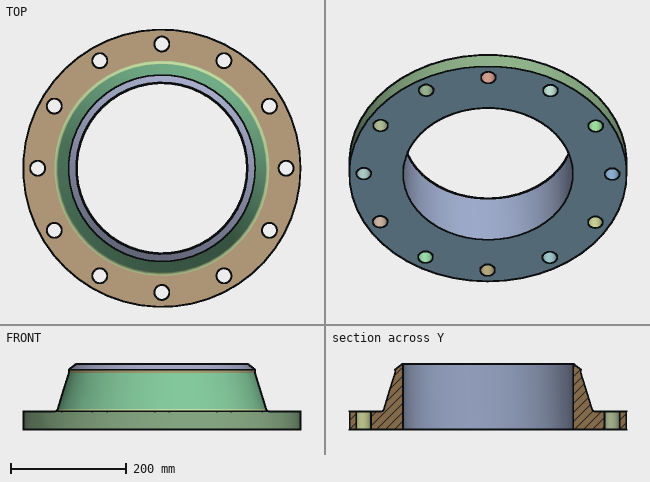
import cadquery as cq
import math

flange_diameter = 482.5
flange_thickness = 32.0

total_height = 114.5
hub_base_diameter = 365.0
weld_end_diameter = 324.0
weld_end_band = 6.5
bore_diameter = 295.5
hub_fillet_radius = 6.0

bevel_angle = 37.5
land_width = 1.6

bolt_count = 12
bolt_circle_diameter = 432.0
bolt_hole_diameter = 25.5

flange_radius = flange_diameter / 2
hub_base_radius = hub_base_diameter / 2
weld_end_radius = weld_end_diameter / 2
bore_radius = bore_diameter / 2
land_radius = bore_radius + land_width
bevel_height = (weld_end_radius - land_radius) * math.tan(math.radians(bevel_angle))
bevel_start = total_height - bevel_height
taper_top = bevel_start - weld_end_band

taper_run = hub_base_radius - weld_end_radius
taper_rise = taper_top - flange_thickness
taper_lean = math.atan2(taper_run, taper_rise)
fillet_turn = math.pi / 2 - taper_lean
tangent_length = hub_fillet_radius * math.tan(fillet_turn / 2)
fillet_foot = (hub_base_radius + tangent_length, flange_thickness)
fillet_top = (
    hub_base_radius - tangent_length * math.sin(taper_lean),
    flange_thickness + tangent_length * math.cos(taper_lean),
)
fillet_middle = (
    fillet_foot[0] - hub_fillet_radius * math.sin(fillet_turn / 2),
    flange_thickness + hub_fillet_radius * (1 - math.cos(fillet_turn / 2)),
)


def make_body():
    """Revolve the radial section of flange, hub and weld end about Z."""
    return (
        cq.Workplane("XZ")
        .moveTo(bore_radius, 0)
        .lineTo(flange_radius, 0)
        .lineTo(flange_radius, flange_thickness)
        .lineTo(*fillet_foot)
        .threePointArc(fillet_middle, fillet_top)
        .lineTo(weld_end_radius, taper_top)
        .lineTo(weld_end_radius, bevel_start)
        .lineTo(land_radius, total_height)
        .lineTo(bore_radius, total_height)
        .close()
        .revolve(360, (0, 0, 0), (0, 1, 0))
    )


def make_bolt_holes():
    """Through holes evenly spaced on the bolt circle, the first on +X."""
    return (
        cq.Workplane("XY")
        .polarArray(bolt_circle_diameter / 2, 0, 360, bolt_count)
        .circle(bolt_hole_diameter / 2)
        .extrude(flange_thickness)
    )


result = make_body().cut(make_bolt_holes())